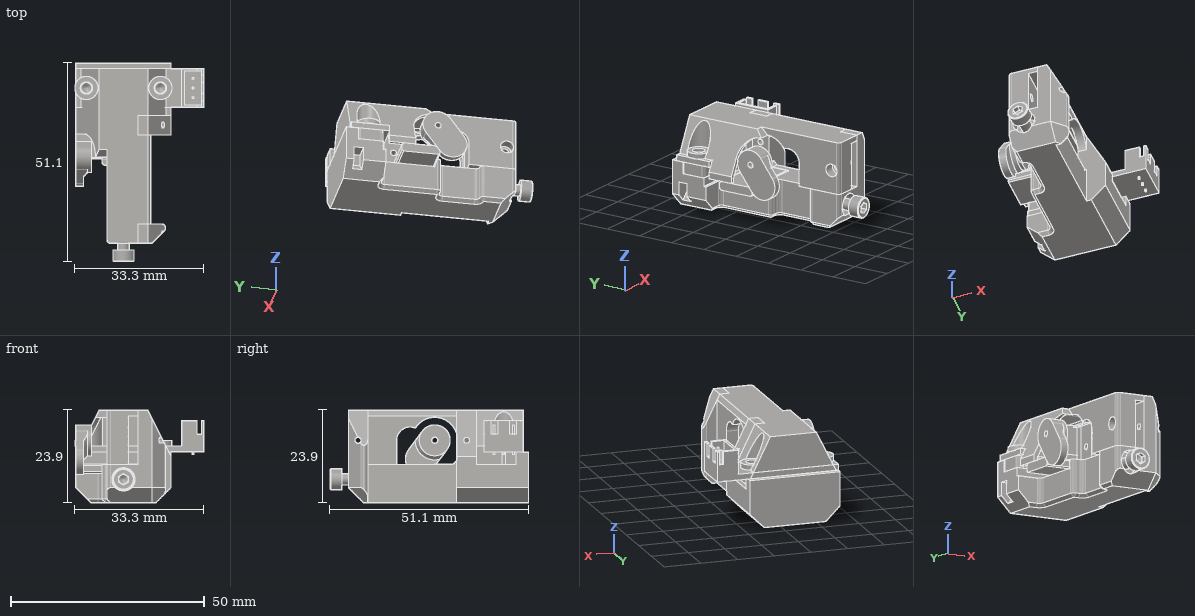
import cadquery as cq
import math


block_width = 24.57
block_height = 23.9
base_depth = 46.45
cover_depth = 45.1
parting_z = 9.9
slope_rise_per_run = 2.0
roof_left_x = 6.04
roof_right_x = 18.6
bottom_chamfer = 3.9
far = 60.0
overcut = 1.0

front_left_x = 8.0
corner_radius = 1.0
waist_left_x = 10.0
shoulder_left_x = 6.72
front_lug_end_y = 8.5
shoulder_front_y = 20.07
rear_block_front_y = 36.0
left_edge_chamfer = 0.95
waist_right_x = 19.35
hook_depth = 5.05
hook_face_x = 19.65
hook_tip_x = 23.15
hook_tip_radius = 1.0
rear_wall_z = 13.05
rear_wall_front_y = 43.2

pillar_left_x = 16.05
rear_pillar_front_y = 27.9
rear_pillar_back_y = 33.0
pillar_foot = 1.0
cross_hole_diameter = 1.5
cross_hole_z = 16.1
front_cross_hole_y = 2.5
rear_cross_hole_y = 30.5

window_front_y = 41.95
window_back_y = 44.4
window_bottom_z = 2.0
window_ramp_top_z = 4.3
window_top_z = 7.4

channel_front_y = 21.76
channel_back_y = 36.7
channel_floor_z = 7.6
slider_width = 10.0
slider_top_z = 10.0
slider_chamfer = 0.4

wing_wall = 1.4
wing_skirt_wall = 1.0
cavity_right_x = 17.05
wing_cavity_roof_z = 21.95
sensor_slot_left_x = 13.56
sensor_slot_roof_z = 22.36
pin_hole_diameter = 2.0
pin_counterbore_diameter = 3.4
pin_counterbore_depth = 3.0
lever_opening_radius = 5.9
tip_opening_radius = 3.4
tip_opening_y = 15.9
tab_corner_radius = 0.55
screw_boss_radius = 4.1
pcb_clearance_left_x = 23.25

pivot_y = 22.27
pivot_z = 16.1
lever_end_y = 18.68
lever_end_z = 11.25
lever_radius = 4.0
lever_arm_thickness = 2.05
lever_hub_shoulder_x = 3.1
lever_hub_end_x = 4.1
lever_hole_diameter = 1.5

pcb_bottom_z = 13.1
pcb_thickness = 1.57
pcb_length = 33.03
pcb_front_y = 35.03
pcb_width = 10.05
connector_length_x = 5.76
connector_top_z = 21.14
connector_floor_z = 16.0
connector_wall = 0.65
connector_left_wall = 0.73
keyway_floor_z = 17.72
side_keyway_left_x = 31.3
end_keyway_width = 1.85
end_keyway_offset = 2.4
contact_pitch = 2.5
contact_diameter = 0.5
contact_x = 30.24
contact_bottom_z = 12.5
contact_top_z = 20.0

board_screw_offset_x = 9.53
board_screw_y = 40.06
board_screw_head_diameter = 6.0
board_screw_head_height = 1.4
board_screw_shank_diameter = 3.0
board_screw_length = 8.0
board_screw_socket_diameter = 3.2
board_screw_socket_depth = 1.0
board_screw_tip_diameter = 2.8

drill_point_angle = 118.0

cap_screw_x = 12.3
cap_screw_z = 6.04
cap_screw_gap = 1.69
cap_screw_head_length = 3.0
cap_screw_head_diameter = 5.5
cap_screw_head_chamfer = 0.2
cap_screw_shank_diameter = 3.0
cap_screw_shank_length = 10.0
cap_screw_hex = 2.5
cap_screw_hex_depth = 1.5
cap_screw_counterbore_diameter = 6.0
cap_screw_counterbore_depth = 3.0

pcb_top_z = pcb_bottom_z + pcb_thickness
pcb_back_y = pcb_front_y + pcb_width
block_center_x = block_width / 2
board_screw_xs = [block_center_x - board_screw_offset_x, block_center_x + board_screw_offset_x]
diagonal = math.sqrt(0.5)


def box(x0, x1, y0, y1, z0, z1):
    """Axis-aligned block between two opposite corners."""
    return cq.Workplane("XY").box(x1 - x0, y1 - y0, z1 - z0, centered=False).translate((x0, y0, z0))


def cylinder_x(diameter, x0, x1, y, z):
    return cq.Workplane("YZ", origin=(x0, y, z)).circle(diameter / 2).extrude(x1 - x0)


def cylinder_y(diameter, y0, y1, x, z):
    return cq.Workplane("XZ", origin=(x, y0, z)).circle(diameter / 2).extrude(y0 - y1)


def cylinder_z(diameter, z0, z1, x, y):
    return cq.Workplane("XY", origin=(x, y, z0)).circle(diameter / 2).extrude(z1 - z0)


def prism_y(points, y0, y1):
    """XZ outline swept from y0 to y1."""
    return cq.Workplane("XZ", origin=(0, y0, 0)).polyline(points).close().extrude(y0 - y1)


def prism_x(points, x0, x1):
    """YZ outline swept from x0 to x1."""
    return cq.Workplane("YZ", origin=(x0, 0, 0)).polyline(points).close().extrude(x1 - x0)


def housing_envelope():
    """Outline shared by base and cover: sloped shoulders and bevelled bottom edges.

    Below the board the sides of the rear seat stay upright.
    """
    left_slope_foot_z = block_height - slope_rise_per_run * roof_left_x
    right_slope_foot_z = block_height - slope_rise_per_run * (block_width - roof_right_x)
    outline = [
        (bottom_chamfer, 0),
        (block_width - bottom_chamfer, 0),
        (block_width, bottom_chamfer),
        (block_width, right_slope_foot_z),
        (roof_right_x, block_height),
        (roof_left_x, block_height),
        (0, left_slope_foot_z),
        (0, bottom_chamfer),
    ]
    rear_seat = [
        (bottom_chamfer, 0),
        (block_width - bottom_chamfer, 0),
        (block_width, bottom_chamfer),
        (block_width, pcb_bottom_z),
        (0, pcb_bottom_z),
        (0, bottom_chamfer),
    ]
    return prism_y(outline, 0, base_depth).union(prism_y(rear_seat, pcb_front_y, base_depth))


def drill_point(diameter, tip_direction, base_point):
    """Conical bottom of a drilled socket."""
    height = diameter / 2 / math.tan(math.radians(drill_point_angle / 2))
    cone = cq.Solid.makeCone(
        diameter / 2, 0, height, pnt=cq.Vector(*base_point), dir=cq.Vector(*tip_direction)
    )
    return cq.Workplane(cone)


def board_screw_holes():
    holes = cq.Workplane("XY")
    for x in board_screw_xs:
        holes = holes.add(board_screw_shank(x))
    return holes.combine()


def board_screw_shank(x):
    shank_bottom_z = pcb_top_z - board_screw_length
    return cylinder_z(board_screw_shank_diameter, shank_bottom_z, pcb_top_z, x, board_screw_y)



def arc_middle(center_x, center_y, toward_x, toward_y):
    """Middle point of a quarter corner arc on the given diagonal."""
    reach = corner_radius * diagonal
    return (center_x + toward_x * reach, center_y + toward_y * reach)


def base_plan():
    r = corner_radius
    lug_y = front_lug_end_y
    lug_x = front_left_x + r
    neck_y = shoulder_front_y
    neck_x = waist_left_x - r
    inner_x = shoulder_left_x - r
    inner_y = rear_block_front_y - r
    hook_front_y = hook_tip_x - hook_face_x
    return (
        cq.Workplane("XY")
        .moveTo(front_left_x + r, 0)
        .threePointArc(arc_middle(lug_x, r, -1, -1), (front_left_x, r))
        .lineTo(front_left_x, lug_y)
        .threePointArc(arc_middle(lug_x, lug_y, -1, 1), (lug_x, lug_y + r))
        .threePointArc(arc_middle(neck_x, lug_y + 2 * r, 1, -1), (waist_left_x, lug_y + 2 * r))
        .lineTo(waist_left_x, neck_y - r)
        .threePointArc(arc_middle(neck_x, neck_y - r, 1, 1), (neck_x, neck_y))
        .lineTo(shoulder_left_x + r, neck_y)
        .threePointArc(arc_middle(shoulder_left_x + r, neck_y + r, -1, -1), (shoulder_left_x, neck_y + r))
        .lineTo(shoulder_left_x, inner_y)
        .threePointArc(arc_middle(inner_x, inner_y, 1, 1), (inner_x, rear_block_front_y))
        .lineTo(0, rear_block_front_y)
        .lineTo(0, base_depth)
        .lineTo(block_width, base_depth)
        .lineTo(block_width, rear_pillar_front_y)
        .lineTo(waist_right_x, rear_pillar_front_y)
        .lineTo(waist_right_x, hook_depth)
        .lineTo(hook_tip_x, hook_depth)
        .lineTo(hook_tip_x, hook_front_y)
        .lineTo(hook_face_x, 0)
        .close()
    )


def base_blank():
    """Plan outline raised to the roof, with rounded hook tip and bevelled left foot."""
    foot_edges = cq.selectors.BoxSelector(
        (shoulder_left_x - 2 * corner_radius, corner_radius / 2, -corner_radius),
        (waist_left_x + corner_radius, rear_block_front_y + corner_radius, corner_radius / 2),
    )
    hook_tip = cq.selectors.BoxSelector(
        (hook_tip_x - hook_tip_radius, 0, 0),
        (hook_tip_x + hook_tip_radius, hook_depth + hook_tip_radius, block_height),
    )
    blank = base_plan().extrude(block_height)
    blank = blank.edges("|Z").edges(hook_tip).fillet(hook_tip_radius)
    return blank.faces("<Z").edges(foot_edges).chamfer(left_edge_chamfer)


def base_keep_zone():
    """Heights the base reaches: low body, rear wall and the two pillars."""
    zone = box(-far, far, 0, rear_wall_front_y, 0, parting_z)
    zone = zone.union(box(-far, far, rear_wall_front_y, base_depth, 0, rear_wall_z))
    zone = zone.union(box(pillar_left_x, far, 0, hook_depth, 0, block_height))
    return zone.union(
        box(pillar_left_x, far, rear_pillar_front_y, rear_pillar_back_y, 0, block_height)
    )


def pillar_gusset():
    """Small triangular foot in front of the rear pillar."""
    foot = [
        (rear_pillar_front_y, parting_z),
        (rear_pillar_front_y - pillar_foot, parting_z),
        (rear_pillar_front_y, parting_z + pillar_foot),
    ]
    return prism_x(foot, cavity_right_x, waist_right_x)


def cable_window():
    ramp_inner_x = bottom_chamfer - window_bottom_z + window_ramp_top_z - window_bottom_z
    outline = [
        (-overcut, window_top_z),
        (ramp_inner_x, window_top_z),
        (ramp_inner_x, window_ramp_top_z),
        (bottom_chamfer - window_bottom_z, window_bottom_z),
        (-overcut, window_bottom_z),
    ]
    return prism_y(outline, window_front_y, window_back_y)


def slider_channel():
    return box(0, cavity_right_x, channel_front_y, channel_back_y, channel_floor_z, slider_top_z)


def cap_screw_shank():
    shank_end_y = cap_screw_shank_length - cap_screw_gap
    return cylinder_y(cap_screw_shank_diameter, -cap_screw_gap, shank_end_y, cap_screw_x, cap_screw_z)


def hook_bevel():
    """Bottom bevel carried along the diagonal face of the hook."""
    corners = [
        (hook_face_x, -bottom_chamfer, 0),
        (hook_face_x, bottom_chamfer, 0),
        (hook_face_x, -bottom_chamfer, 2 * bottom_chamfer),
    ]
    section = cq.Wire.makePolygon([cq.Vector(*corner) for corner in corners], close=True)
    run = block_width - hook_face_x
    return cq.Workplane(cq.Solid.extrudeLinear(section, [], cq.Vector(run, run, 0)))


def make_base():
    base = base_blank().intersect(base_keep_zone()).union(pillar_gusset())
    base = base.intersect(housing_envelope())
    front_bevel = [(0, 0), (0, bottom_chamfer), (bottom_chamfer, 0)]
    base = base.cut(prism_x(front_bevel, 0, block_width)).cut(hook_bevel())
    for y in (front_cross_hole_y, rear_cross_hole_y):
        base = base.cut(cylinder_x(cross_hole_diameter, pillar_left_x, block_width, y, cross_hole_z))
    base = base.cut(cable_window()).cut(slider_channel()).cut(wing_cavity()).cut(board_screw_holes())
    counterbore = cylinder_y(
        cap_screw_counterbore_diameter, 0, cap_screw_counterbore_depth, cap_screw_x, cap_screw_z
    )
    return base.cut(counterbore).cut(cap_screw_shank())



def cover_outline_zone():
    """Plan of the cover: narrow front body, sloped rear wing, seats for the base pillars."""
    zone = box(front_left_x, waist_right_x, 0, rear_pillar_front_y, parting_z, block_height)
    zone = zone.edges("|Z and <X and <Y").fillet(corner_radius)
    wing_front = [
        (pivot_y, parting_z),
        (pivot_y, pivot_z + lever_opening_radius),
        (pivot_y + block_height - pivot_z - lever_opening_radius, block_height),
        (cover_depth, block_height),
        (cover_depth, rear_wall_z),
        (rear_wall_front_y, rear_wall_z),
        (rear_wall_front_y, parting_z),
    ]
    zone = zone.union(prism_x(wing_front, 0, block_width))
    zone = zone.cut(box(pillar_left_x, far, 0, hook_depth, 0, far))
    zone = zone.cut(box(pillar_left_x, far, rear_pillar_front_y, rear_pillar_back_y, 0, far))
    return zone.cut(box(waist_right_x, far, hook_depth, rear_pillar_front_y, 0, far))


def lever_opening():
    """Window across the cover for the lever: two round bays open down to the parting face."""
    front_y = tip_opening_y - tip_opening_radius
    back_y = pivot_y + lever_opening_radius
    opening = cylinder_x(2 * lever_opening_radius, 0, block_width, pivot_y, pivot_z)
    opening = opening.union(cylinder_x(2 * tip_opening_radius, 0, block_width, tip_opening_y, pivot_z))
    return opening.union(box(0, block_width, front_y, back_y, 0, pivot_z))


def wing_cavity():
    """Hollow behind the wing wall, its outer side parallel to the sloped shoulder.

    Over the board it reaches back around the boss of the left screw.
    """
    inner_roof_x = roof_left_x + wing_wall
    ceiling_x = inner_roof_x - (block_height - wing_cavity_roof_z) / slope_rise_per_run
    skirt_top_z = block_height - slope_rise_per_run * (inner_roof_x - wing_skirt_wall)
    outline = [
        (ceiling_x, wing_cavity_roof_z),
        (cavity_right_x, wing_cavity_roof_z),
        (cavity_right_x, parting_z),
        (wing_skirt_wall, parting_z),
        (wing_skirt_wall, skirt_top_z),
    ]
    cavity = prism_y(outline, pivot_y, pcb_front_y)
    above_board = prism_y(outline, pcb_front_y, board_screw_y)
    above_board = above_board.intersect(box(0, sensor_slot_left_x, 0, far, pcb_top_z, far))
    left_screw_x = board_screw_xs[0]
    boss = cylinder_z(2 * screw_boss_radius, pcb_top_z, block_height, left_screw_x, board_screw_y)
    return cavity.union(above_board.cut(boss))


def board_seat():
    """Slot for the board, with the clearances in front of and beside the screw tab under it."""
    seat = box(0, pcb_length, pcb_front_y, pcb_back_y, pcb_bottom_z, pcb_top_z)
    seat = seat.union(
        box(pcb_clearance_left_x, block_width, rear_pillar_back_y, pcb_back_y, parting_z, pcb_top_z)
    )
    return seat.union(box(0, cavity_right_x, pcb_front_y, channel_back_y, parting_z, pcb_bottom_z))


def make_cover():
    cover = cover_outline_zone().intersect(housing_envelope())
    cover = cover.cut(lever_opening()).cut(wing_cavity())
    cover = cover.cut(
        box(sensor_slot_left_x, pillar_left_x, 0, pcb_front_y, parting_z, sensor_slot_roof_z)
    )
    counterbore_end_x = front_left_x + pin_counterbore_depth
    hole_y = front_cross_hole_y
    cover = cover.cut(
        cylinder_x(pin_counterbore_diameter, front_left_x, counterbore_end_x, hole_y, cross_hole_z)
    )
    cover = cover.cut(
        cylinder_x(pin_hole_diameter, front_left_x, sensor_slot_left_x, hole_y, cross_hole_z)
    )
    cover = cover.cut(slider_channel()).cut(board_seat())
    tab_corners = cq.selectors.BoxSelector(
        (-corner_radius, channel_back_y - corner_radius / 2, parting_z),
        (corner_radius, rear_wall_front_y + corner_radius / 2, pcb_bottom_z),
    )
    cover = cover.edges("|Z").edges(tab_corners).fillet(tab_corner_radius)
    for x in board_screw_xs:
        cover = cover.cut(cylinder_z(board_screw_head_diameter, pcb_top_z, block_height, x, board_screw_y))
    return cover.cut(board_screw_holes())



def lever_arm_angle():
    """Angle of the arm from +Y, about the pivot."""
    return math.degrees(math.atan2(lever_end_z - pivot_z, lever_end_y - pivot_y))


def lever_outline(thickness):
    """Obround arm plate standing on X=0."""
    arm_length = math.hypot(lever_end_y - pivot_y, lever_end_z - pivot_z)
    middle = (0, (pivot_y + lever_end_y) / 2, (pivot_z + lever_end_z) / 2)
    return (
        cq.Workplane("YZ", origin=middle)
        .slot2D(arm_length + 2 * lever_radius, 2 * lever_radius, lever_arm_angle())
        .extrude(thickness)
    )


def arm_relief():
    """Space beside the thin arm, leaving the hub and its conical shoulder."""
    reach = 4 * lever_radius
    cone_height = lever_hub_shoulder_x - lever_arm_thickness
    hub_profile = [
        (0, lever_arm_thickness),
        (lever_radius + cone_height, lever_arm_thickness),
        (lever_radius, lever_hub_shoulder_x),
        (lever_radius, lever_hub_end_x),
        (0, lever_hub_end_x),
    ]
    hub = cq.Workplane("XY").polyline(hub_profile).close().revolve(360, (0, 0), (0, 1))
    relief = box(-reach, 0, lever_arm_thickness, lever_hub_end_x, -reach, reach).cut(hub)
    relief = relief.rotate((0, 0, 0), (0, 0, 1), -90)
    return relief.rotate((0, 0, 0), (1, 0, 0), lever_arm_angle()).translate((0, pivot_y, pivot_z))


def make_lever():
    lever = lever_outline(lever_hub_end_x).cut(arm_relief())
    return lever.cut(cylinder_x(lever_hole_diameter, 0, lever_hub_end_x, pivot_y, pivot_z))



def make_slider():
    """Bevelled block in the channel, relieved where the lever arm passes."""
    back_y = channel_front_y + slider_width
    slider = box(0, cavity_right_x, channel_front_y, back_y, channel_floor_z, slider_top_z)
    slider = slider.edges("|X").chamfer(slider_chamfer)
    return slider.cut(lever_outline(lever_arm_thickness))



def connector_shell():
    """Open-topped connector housing with keyways in three walls."""
    left_x = pcb_length - connector_length_x
    right_x = pcb_length - connector_wall
    front_y = pcb_front_y + connector_wall
    back_y = pcb_back_y - connector_wall
    shell = box(left_x, pcb_length, pcb_front_y, pcb_back_y, pcb_top_z, connector_top_z)
    shell = shell.cut(
        box(left_x + connector_left_wall, right_x, front_y, back_y, connector_floor_z, connector_top_z)
    )
    shell = shell.cut(
        box(side_keyway_left_x, right_x, pcb_front_y, pcb_back_y, keyway_floor_z, connector_top_z)
    )
    middle_y = (pcb_front_y + pcb_back_y) / 2
    for side in (-1, 1):
        center_y = middle_y + side * end_keyway_offset
        shell = shell.cut(
            box(
                right_x,
                pcb_length,
                center_y - end_keyway_width / 2,
                center_y + end_keyway_width / 2,
                keyway_floor_z,
                connector_top_z,
            )
        )
    return shell


def make_circuit_board():
    board = box(0, pcb_length, pcb_front_y, pcb_back_y, pcb_bottom_z, pcb_top_z)
    board = board.union(connector_shell())
    middle_y = (pcb_front_y + pcb_back_y) / 2
    for step in (-1, 0, 1):
        contact_y = middle_y + step * contact_pitch
        board = board.union(
            cylinder_z(contact_diameter, contact_bottom_z, contact_top_z, contact_x, contact_y)
        )
    return board.cut(board_screw_holes())



def make_board_screw(x):
    head_top_z = pcb_top_z + board_screw_head_height
    socket_floor_z = head_top_z - board_screw_socket_depth
    head = cylinder_z(board_screw_head_diameter, pcb_top_z, head_top_z, x, board_screw_y)
    screw = head.union(board_screw_shank(x))
    screw = screw.cut(
        cylinder_z(board_screw_socket_diameter, socket_floor_z, head_top_z, x, board_screw_y)
    )
    socket_floor = (x, board_screw_y, socket_floor_z)
    return screw.cut(drill_point(board_screw_tip_diameter, (0, 0, -1), socket_floor))


def make_cap_screw():
    head_front_y = -cap_screw_gap - cap_screw_head_length
    head = cylinder_y(cap_screw_head_diameter, head_front_y, -cap_screw_gap, cap_screw_x, cap_screw_z)
    head = head.faces("<Y").edges().chamfer(cap_screw_head_chamfer)
    hex_diameter = cap_screw_hex / math.cos(math.pi / 6)
    socket = (
        cq.Workplane("XZ", origin=(cap_screw_x, head_front_y, cap_screw_z))
        .polygon(6, hex_diameter)
        .extrude(-cap_screw_hex_depth)
        .rotate((cap_screw_x, 0, cap_screw_z), (cap_screw_x, 1, cap_screw_z), 90)
    )
    socket_floor = (cap_screw_x, head_front_y + cap_screw_hex_depth, cap_screw_z)
    tip = drill_point(cap_screw_hex, (0, 1, 0), socket_floor)
    return head.union(cap_screw_shank()).cut(socket).cut(tip)


base = make_base()
cover = make_cover()
lever = make_lever()
slider = make_slider()
circuit_board = make_circuit_board()
board_screws = [make_board_screw(x) for x in board_screw_xs]
cap_screw = make_cap_screw()

result = cq.Compound.makeCompound(
    [
        base.val(),
        cover.val(),
        lever.val(),
        slider.val(),
        circuit_board.val(),
        *[screw.val() for screw in board_screws],
        cap_screw.val(),
    ]
)